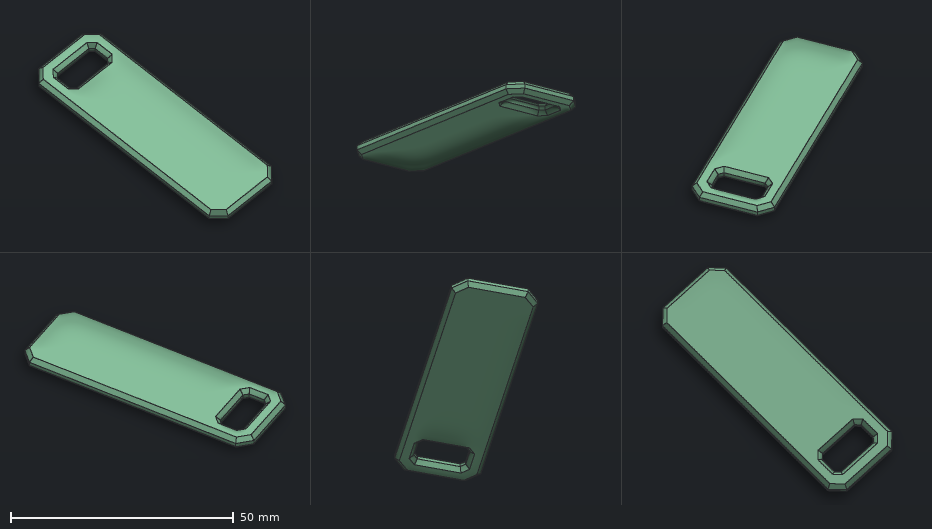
import cadquery as cq

length = 60.0
width = length / 3
thickness = 3.0
corner_cut = 3.0
edge_bevel = thickness / 3

slot_length = 6.0
slot_width = 12.0
slot_corner_cut = 1.0
slot_rim_margin = 3.0
slot_center_x = -length / 2 + slot_rim_margin + edge_bevel + slot_length / 2


def cut_corner_block(size_x, size_y, corner):
    """Plate-thick block, centred on the origin, with its four upright edges cut at 45 degrees."""
    return cq.Workplane("XY").box(size_x, size_y, thickness).edges("|Z").chamfer(corner)


plate = cut_corner_block(length, width, corner_cut)
slot = cut_corner_block(slot_length, slot_width, slot_corner_cut).translate((slot_center_x, 0, 0))
result = plate.cut(slot).faces("<Z or >Z").edges().chamfer(edge_bevel)